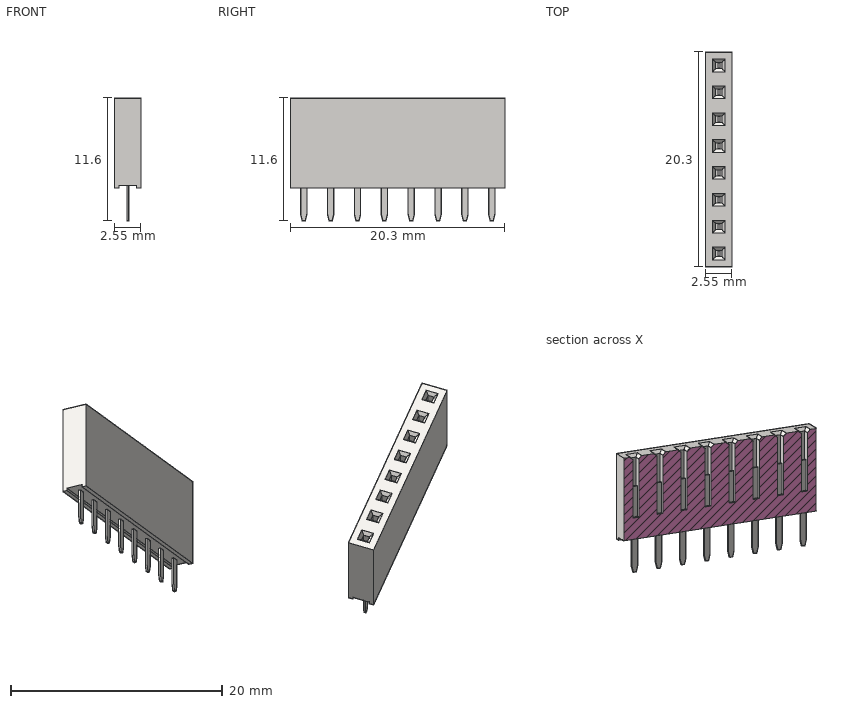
import cadquery as cq

pin_count = 8
body_length = 20.32
body_width = 2.55
body_height = 8.51
pitch = body_length / pin_count

channel_width = 1.65
channel_depth = 0.25

socket_mouth = 1.2
socket_bore = 0.59
lead_in_depth = (socket_mouth - socket_bore) / 2
socket_depth = 6.1

blade_thickness = 0.193
blade_width = 0.6
contact_width = 0.5
contact_height = 3.05
tail_length = 3.09
tip_length = 0.6
tip_width = 0.3

first_pin_y = -(body_length - pitch) / 2
pin_positions = [(0, first_pin_y + i * pitch) for i in range(pin_count)]
socket_floor = body_height - socket_depth


def make_housing():
    """Plain block standing on Z = 0 with the channel cut through its underside."""
    block = cq.Workplane("XY").box(body_width, body_length, body_height, centered=(True, True, False))
    channel = cq.Workplane("XY").box(channel_width, body_length, channel_depth, centered=(True, True, False))
    return block.cut(channel)


def make_socket():
    """Cutting shape of one socket: tapered mouth above a straight square bore."""
    lead_in = (
        cq.Workplane("XY", origin=(0, 0, body_height))
        .rect(socket_mouth, socket_mouth)
        .workplane(offset=-lead_in_depth)
        .rect(socket_bore, socket_bore)
        .loft(ruled=True)
    )
    bore = (
        cq.Workplane("XY", origin=(0, 0, socket_floor))
        .rect(socket_bore, socket_bore)
        .extrude(socket_depth - lead_in_depth)
    )
    return lead_in.union(bore)


def make_blade():
    """One contact: pointed tail, buried shank and narrower contact end."""
    half_width = blade_width / 2
    half_contact = contact_width / 2
    half_tip = tip_width / 2
    shoulder = tip_length - tail_length
    contact_top = socket_floor + contact_height
    return (
        cq.Workplane("YZ", origin=(-blade_thickness / 2, 0, 0))
        .moveTo(-half_tip, -tail_length)
        .lineTo(half_tip, -tail_length)
        .lineTo(half_width, shoulder)
        .lineTo(half_width, socket_floor)
        .lineTo(half_contact, socket_floor)
        .lineTo(half_contact, contact_top)
        .lineTo(-half_contact, contact_top)
        .lineTo(-half_contact, socket_floor)
        .lineTo(-half_width, socket_floor)
        .lineTo(-half_width, shoulder)
        .close()
        .extrude(blade_thickness)
    )


result = make_housing()
socket = make_socket()
blade = make_blade()
for x, y in pin_positions:
    result = result.cut(socket.translate((x, y, 0)))
    result = result.union(blade.translate((x, y, 0)))